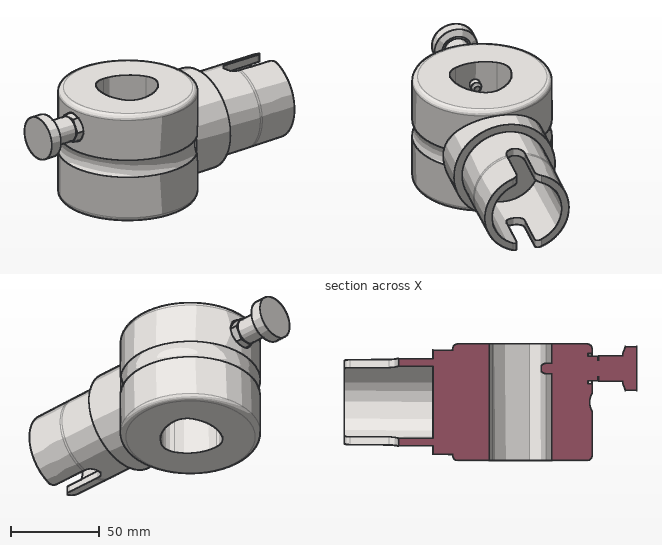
import cadquery as cq
import math

BODY_DIAMETER = 79.0
BODY_HEIGHT = 66.0
BODY_EDGE_RADIUS = 3.0
GROOVE_WIDTH = 10.5
GROOVE_DEPTH = 1.4

LOBE_RADIUS = 10.8
SIDE_RADIUS = 24.3

COLLAR_DIAMETER = 59.0
COLLAR_START_Y = 26.25
COLLAR_END_Y = 50.5
TUBE_DIAMETER = 49.5
TUBE_END_Y = 100.5
TUBE_BORE_DIAMETER = 40.5
TUBE_BORE_DEPTH = TUBE_END_Y - COLLAR_END_Y

LEAD_START_FROM_END = 25.0
TAPER_START_FROM_END = 23.5
TAPER_START_DIAMETER = 49.4
TUBE_END_DIAMETER = 49.1

SLOT_WIDTH = 10.5
SLOT_DEPTH = 30.5
SLOT_MOUTH_RADIUS = 3.0

PLUNGER_Z = 19.0
PIN_DIAMETER = 6.0
PIN_SHOULDER_DIAMETER = 5.2
PIN_TIP_DIAMETER = 3.4
PIN_TIP_Y = -10.5
PIN_TIP_LENGTH = 1.2
PIN_SHOULDER_LENGTH = 0.9
HEX_ACROSS_FLATS = 14.0
HEX_END_Y = -42.5
RECESS_DIAMETER = 17.0
RECESS_FLOOR_Y = -37.0
SHANK_DIAMETER = 9.57
STEM_START_Y = -43.0
STEM_DIAMETER = 14.5
KNOB_DIAMETER = 25.0
KNOB_NECK_DIAMETER = 17.0
KNOB_END_Y = -64.5
KNOB_RIM_LENGTH = 6.6
KNOB_TAPER_LENGTH = 1.4

BODY_RADIUS = BODY_DIAMETER / 2


def cylinder_along_y(diameter, start_y, end_y, z=0.0):
    """Cylinder parallel to Y between two Y positions."""
    direction = cq.Vector(0, math.copysign(1, end_y - start_y), 0)
    solid = cq.Solid.makeCylinder(diameter / 2, abs(end_y - start_y), cq.Vector(0, start_y, z), direction)
    return cq.Workplane(obj=solid)


def turned_about_y(profile, z=0.0):
    """Solid of revolution about an axis parallel to Y, from (radius, Y) points."""
    outline = cq.Workplane("XY", origin=(0, 0, z)).polyline(profile).close()
    return outline.revolve(360, (0, 0, 0), (0, 1, 0))


def make_body():
    body = cq.Workplane("XY").circle(BODY_RADIUS).extrude(BODY_HEIGHT / 2, both=True)
    body = body.faces("<Z or >Z").edges().fillet(BODY_EDGE_RADIUS)
    half_width = GROOVE_WIDTH / 2
    groove = (
        cq.Workplane("XZ")
        .moveTo(BODY_RADIUS, -half_width)
        .threePointArc((BODY_RADIUS - GROOVE_DEPTH, 0), (BODY_RADIUS, half_width))
        .lineTo(BODY_RADIUS + GROOVE_DEPTH, half_width)
        .lineTo(BODY_RADIUS + GROOVE_DEPTH, -half_width)
        .close()
        .revolve(360, (0, 0, 0), (0, 1, 0))
    )
    return body.cut(groove)


def make_lobed_hole():
    """Constant-width hole: three lobe arcs joined by three tangent side arcs."""
    lobe_offset = (SIDE_RADIUS - LOBE_RADIUS) / math.sqrt(3)

    def on_lobe(lobe_angle, normal_angle, radius):
        lobe = math.radians(lobe_angle)
        normal = math.radians(normal_angle)
        return (
            lobe_offset * math.cos(lobe) + radius * math.cos(normal),
            lobe_offset * math.sin(lobe) + radius * math.sin(normal),
        )

    outline = cq.Workplane("XY", origin=(0, 0, -BODY_HEIGHT / 2))
    outline = outline.moveTo(*on_lobe(90, 60, LOBE_RADIUS))
    for angle in (90, 210, 330):
        outline = outline.threePointArc(
            on_lobe(angle, angle, LOBE_RADIUS),
            on_lobe(angle, angle + 30, LOBE_RADIUS),
        )
        outline = outline.threePointArc(
            on_lobe(angle + 240, angle + 60, SIDE_RADIUS),
            on_lobe(angle + 120, angle + 90, LOBE_RADIUS),
        )
    return outline.close().extrude(BODY_HEIGHT)


def make_neck():
    collar = cylinder_along_y(COLLAR_DIAMETER, COLLAR_START_Y, COLLAR_END_Y)
    tube_profile = [
        (0, COLLAR_START_Y),
        (TUBE_DIAMETER / 2, COLLAR_START_Y),
        (TUBE_DIAMETER / 2, TUBE_END_Y - LEAD_START_FROM_END),
        (TAPER_START_DIAMETER / 2, TUBE_END_Y - TAPER_START_FROM_END),
        (TUBE_END_DIAMETER / 2, TUBE_END_Y),
        (0, TUBE_END_Y),
    ]
    tube = turned_about_y(tube_profile)
    bore = cylinder_along_y(TUBE_BORE_DIAMETER, TUBE_END_Y - TUBE_BORE_DEPTH, TUBE_END_Y)
    return collar.union(tube).cut(bore)


def make_slot():
    """Round-ended slot, flared by a radius at each corner of its mouth."""
    half_width = SLOT_WIDTH / 2
    mouth_half_width = half_width + SLOT_MOUTH_RADIUS
    centre_y = TUBE_END_Y - SLOT_DEPTH + half_width
    flare_y = TUBE_END_Y - SLOT_MOUTH_RADIUS
    return (
        cq.Workplane("XY")
        .moveTo(half_width, flare_y)
        .lineTo(half_width, centre_y)
        .threePointArc((0, centre_y - half_width), (-half_width, centre_y))
        .lineTo(-half_width, flare_y)
        .radiusArc((-mouth_half_width, TUBE_END_Y), -SLOT_MOUTH_RADIUS)
        .lineTo(mouth_half_width, TUBE_END_Y)
        .radiusArc((half_width, flare_y), -SLOT_MOUTH_RADIUS)
        .close()
        .extrude(TUBE_DIAMETER, both=True)
    )


def make_plunger_recess():
    return cylinder_along_y(RECESS_DIAMETER, RECESS_FLOOR_Y, -BODY_DIAMETER, PLUNGER_Z)


def make_plunger():
    """Pin, shank, stem and knob turned about one axis, with a hexagon on the recess floor."""
    shoulder_y = PIN_TIP_Y - PIN_TIP_LENGTH
    pin_y = shoulder_y - PIN_SHOULDER_LENGTH
    rim_y = KNOB_END_Y + KNOB_RIM_LENGTH
    knob_neck_y = rim_y + KNOB_TAPER_LENGTH
    profile = [
        (0, PIN_TIP_Y),
        (PIN_TIP_DIAMETER / 2, PIN_TIP_Y),
        (PIN_SHOULDER_DIAMETER / 2, shoulder_y),
        (PIN_DIAMETER / 2, pin_y),
        (PIN_DIAMETER / 2, RECESS_FLOOR_Y),
        (SHANK_DIAMETER / 2, RECESS_FLOOR_Y),
        (SHANK_DIAMETER / 2, STEM_START_Y),
        (STEM_DIAMETER / 2, STEM_START_Y),
        (STEM_DIAMETER / 2, knob_neck_y),
        (KNOB_NECK_DIAMETER / 2, knob_neck_y),
        (KNOB_DIAMETER / 2, rim_y),
        (KNOB_DIAMETER / 2, KNOB_END_Y),
        (0, KNOB_END_Y),
    ]
    turned = turned_about_y(profile, PLUNGER_Z)
    hexagon = (
        cq.Workplane("XZ", origin=(0, RECESS_FLOOR_Y, PLUNGER_Z))
        .polygon(6, HEX_ACROSS_FLATS / math.cos(math.pi / 6))
        .extrude(RECESS_FLOOR_Y - HEX_END_Y)
    )
    return turned.union(hexagon)


housing = make_body().union(make_neck())
for cutter in (make_slot(), make_lobed_hole(), make_plunger_recess()):
    housing = housing.cut(cutter)
result = housing.union(make_plunger())